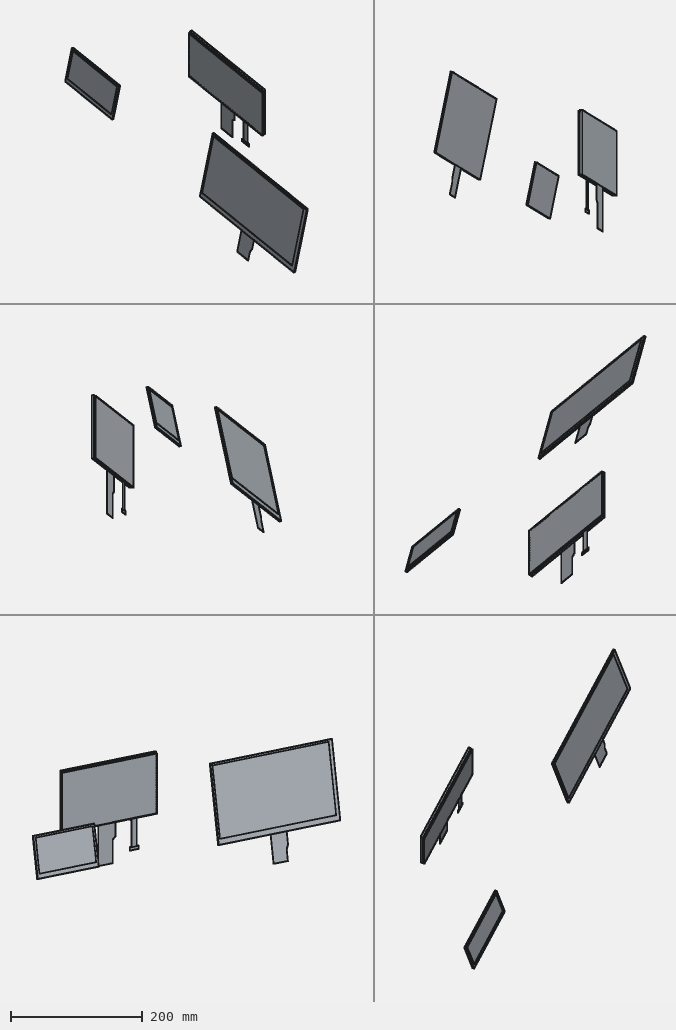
import cadquery as cq
import math

TOTAL_DEPTH = 165.0

LEAN_ANGLE = 12.0
SCREEN_THICKNESS = 2.9
WINDOW_DEPTH = 0.25
CABLE_THICKNESS = 0.3

SMALL_WIDTH = 105.5
SMALL_HEIGHT = 67.0
SMALL_SIDE_BORDER = 3.5
SMALL_TOP_BORDER = 3.0
SMALL_BOTTOM_BORDER = 8.0
SMALL_FRONT_Y = 14.5
SMALL_BOTTOM_Z = 68.0

LARGE_WIDTH = 210.0
LARGE_HEIGHT = 126.5
LARGE_LEFT_BORDER = 3.0
LARGE_RIGHT_BORDER = 6.0
LARGE_TOP_BORDER = 3.0
LARGE_BOTTOM_BORDER = 9.5
LARGE_LEFT_X = 519.0 - LARGE_WIDTH
LARGE_CABLE_LEFT = 91.0
LARGE_CABLE_WIDTH = 28.0
LARGE_CABLE_END_WIDTH = 25.0
LARGE_CABLE_LENGTH = 46.0
LARGE_CABLE_STEP_START = 21.0
LARGE_CABLE_STEP_END = 28.0
LARGE_TOP_Z = 190.5

UPRIGHT_LEFT_X = 120.5
UPRIGHT_WIDTH = 164.5
UPRIGHT_BOTTOM_Z = 69.0
MODULE_HEIGHT = 100.0
MODULE_THICKNESS = 3.5
GLASS_HEIGHT = 98.5
BOND_INSET = 0.5
BOND_THICKNESS = 1.0
GLASS_THICKNESS = 1.8

WIDE_CABLE_LEFT = 66.0
WIDE_CABLE_WIDTH = 30.0
WIDE_CABLE_END_WIDTH = 25.5
WIDE_CABLE_STEP_START = 25.5
WIDE_CABLE_STEP_END = WIDE_CABLE_STEP_START + WIDE_CABLE_WIDTH - WIDE_CABLE_END_WIDTH

NARROW_CABLE_LEFT = 121.0
NARROW_CABLE_WIDTH = 9.5
NARROW_CABLE_LENGTH = 52.0
ROOT_FLARE_WIDTH = 6.0
ROOT_FLARE_LENGTH = 2.5
PAD_OVERHANG = 3.0
PAD_LENGTH = 5.0
PAD_TAPER = 1.5
PAD_THICKNESS = 0.5

lean = math.radians(LEAN_ANGLE)
LARGE_BOTTOM_Z = LARGE_TOP_Z - LARGE_HEIGHT * math.cos(lean)
LARGE_FRONT_Y = (
    LARGE_CABLE_LENGTH * math.sin(lean)
    - (SCREEN_THICKNESS - CABLE_THICKNESS) * math.cos(lean)
)


def block(left, front, bottom, width, depth, height):
    """Box placed by its left, front, bottom corner."""
    return cq.Workplane("XY").box(width, depth, height, centered=False).translate((left, front, bottom))


def sheet(points, front, thickness):
    """Flat sheet with an outline in X and Z, growing backward from its front face."""
    return cq.Workplane("XZ", origin=(0, front, 0)).polyline(points).close().extrude(-thickness)


def stepped_cable(left, width, end_width, length, step_start, step_end, front):
    """Flat cable hanging below Z = 0 that narrows on its right side."""
    outline = [
        (left, BOND_INSET),
        (left + width, BOND_INSET),
        (left + width, -step_start),
        (left + end_width, -step_end),
        (left + end_width, -length),
        (left, -length),
    ]
    return sheet(outline, front, CABLE_THICKNESS)


def framed_panel(width, height, left_border, right_border, top_border, bottom_border):
    """Upright panel with a shallow display window in its front face."""
    panel = block(0, 0, 0, width, SCREEN_THICKNESS, height)
    window = block(
        left_border,
        0,
        bottom_border,
        width - left_border - right_border,
        WINDOW_DEPTH,
        height - top_border - bottom_border,
    )
    return panel.cut(window)


def lean_back(body):
    """Tilt a body backward about its front lower edge."""
    return body.rotate((0, 0, 0), (1, 0, 0), -LEAN_ANGLE)


def make_small_screen():
    panel = framed_panel(
        SMALL_WIDTH, SMALL_HEIGHT, SMALL_SIDE_BORDER, SMALL_SIDE_BORDER, SMALL_TOP_BORDER, SMALL_BOTTOM_BORDER
    )
    return lean_back(panel).translate((0, SMALL_FRONT_Y, SMALL_BOTTOM_Z))


def make_large_screen():
    panel = framed_panel(
        LARGE_WIDTH, LARGE_HEIGHT, LARGE_LEFT_BORDER, LARGE_RIGHT_BORDER, LARGE_TOP_BORDER, LARGE_BOTTOM_BORDER
    )
    cable = stepped_cable(
        LARGE_CABLE_LEFT,
        LARGE_CABLE_WIDTH,
        LARGE_CABLE_END_WIDTH,
        LARGE_CABLE_LENGTH,
        LARGE_CABLE_STEP_START,
        LARGE_CABLE_STEP_END,
        SCREEN_THICKNESS - CABLE_THICKNESS,
    )
    return lean_back(panel.union(cable)).translate((LARGE_LEFT_X, LARGE_FRONT_Y, LARGE_BOTTOM_Z))


def make_narrow_cable(front):
    """Touch cable with a flared root and a thicker connector pad."""
    left = NARROW_CABLE_LEFT
    right = left + NARROW_CABLE_WIDTH
    pad_left = left - PAD_OVERHANG
    pad_right = right + PAD_OVERHANG
    pad_top = PAD_LENGTH - NARROW_CABLE_LENGTH
    taper_top = pad_top + PAD_TAPER
    outline = [
        (left - ROOT_FLARE_WIDTH, BOND_INSET),
        (right, BOND_INSET),
        (right, taper_top),
        (pad_right, pad_top),
        (pad_right, -NARROW_CABLE_LENGTH),
        (pad_left, -NARROW_CABLE_LENGTH),
        (pad_left, pad_top),
        (left, taper_top),
        (left, -ROOT_FLARE_LENGTH),
        (left - ROOT_FLARE_WIDTH, 0),
    ]
    pad_width = pad_right - pad_left
    pad = block(pad_left, front, -NARROW_CABLE_LENGTH, pad_width, PAD_THICKNESS, PAD_LENGTH)
    pad_back_offset = PAD_THICKNESS - CABLE_THICKNESS
    return sheet(outline, front + pad_back_offset, CABLE_THICKNESS).union(pad)


def make_upright_screen():
    glass = block(0, 0, 0, UPRIGHT_WIDTH, GLASS_THICKNESS, GLASS_HEIGHT)
    bond = block(
        BOND_INSET,
        GLASS_THICKNESS,
        BOND_INSET,
        UPRIGHT_WIDTH - 2 * BOND_INSET,
        BOND_THICKNESS,
        GLASS_HEIGHT - 2 * BOND_INSET,
    )
    module_front = GLASS_THICKNESS + BOND_THICKNESS
    module = block(0, module_front, 0, UPRIGHT_WIDTH, MODULE_THICKNESS, MODULE_HEIGHT)
    depth = module_front + MODULE_THICKNESS
    wide_cable = stepped_cable(
        WIDE_CABLE_LEFT,
        WIDE_CABLE_WIDTH,
        WIDE_CABLE_END_WIDTH,
        UPRIGHT_BOTTOM_Z,
        WIDE_CABLE_STEP_START,
        WIDE_CABLE_STEP_END,
        depth - CABLE_THICKNESS,
    )
    narrow_cable = make_narrow_cable(GLASS_THICKNESS - PAD_THICKNESS)
    screen = glass.union(bond).union(module).union(wide_cable).union(narrow_cable)
    return screen.translate((UPRIGHT_LEFT_X, TOTAL_DEPTH - depth, UPRIGHT_BOTTOM_Z))


small_screen = make_small_screen()
upright_screen = make_upright_screen()
large_screen = make_large_screen()

result = cq.Compound.makeCompound([small_screen.val(), upright_screen.val(), large_screen.val()])